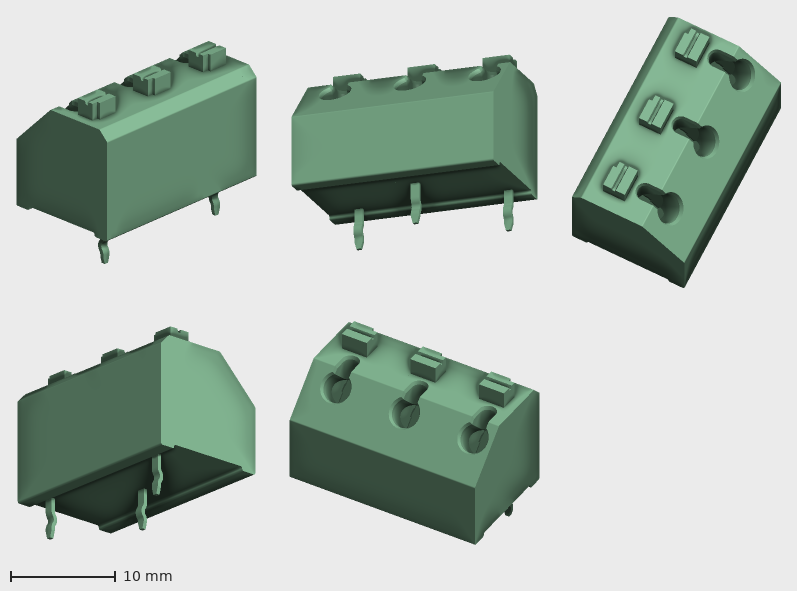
import cadquery as cq
import math

slice_width = 3.8
end_plate_width = 1.55
clamp_count = 3
clamp_pitch = 2 * slice_width

body_length = 12.0
body_height = 11.45
front_slope = 4.5
rear_chamfer = 1.0
foot_length = 1.66
foot_height = 0.41
edge_radius = 0.195

entry_inset = 1.73
bore_centre_x = 3.12
bore_centre_z = body_height - front_slope + bore_centre_x
bore_radius = 1.42
bore_depth = 3.55
mouth_radius = 1.6
mouth_depth = 0.37
slot_radius = 0.76
slot_mouth_radius = 0.9
slot_end_centre_x = 5.84
ramp_start_x = 3.88
ramp_end_x = 4.85
funnel_start_depth = 2.45
funnel_end_depth = 3.37
throat_half_width = 0.68

button_x = 7.13
button_length = 2.3
button_width = 2.77
button_height = 1.75
notch_length = 0.35
notch_width = 0.64
groove_centre = 1.2
groove_width = 0.47
groove_depth = 0.35
groove_floor_width = 0.25

pin_thickness = 0.41
pin_width = 0.85
pin_tip_width = 0.43
pin_tip_start_z = -2.88
pin_bottom_z = -3.62
front_pin_x = 4.7
front_bend_z = -1.91
rear_pin_x = 9.7
rear_bend_z = -1.77
bend_rise = 0.43
bend_offset = 0.29
bend_angle = 2 * math.atan(bend_offset / (2 * bend_rise))
bend_radius = bend_rise / math.sin(bend_angle)


def housing_slice(start_y, width):
    foot_inner_x = body_length - foot_length
    outline = [
        (0, 0),
        (foot_length, 0),
        (foot_length, foot_height),
        (foot_inner_x, foot_height),
        (foot_inner_x, 0),
        (body_length, 0),
        (body_length, body_height - rear_chamfer),
        (body_length - rear_chamfer, body_height),
        (front_slope, body_height),
        (0, body_height - front_slope),
    ]
    block = cq.Workplane("XZ", origin=(0, start_y, 0)).polyline(outline).close().extrude(-width)
    return block.edges("|Y").fillet(edge_radius)


def slope_workplane(centre_y):
    return cq.Workplane(
        cq.Plane(origin=(bore_centre_x, centre_y, bore_centre_z), xDir=(0, 1, 0), normal=(-1, 0, 1))
    )


def entry_bore(centre_y):
    bore = slope_workplane(centre_y).circle(bore_radius).extrude(-bore_depth)
    mouth = (
        slope_workplane(centre_y)
        .circle(mouth_radius)
        .workplane(offset=-mouth_depth)
        .circle(bore_radius)
        .loft(ruled=True)
    )
    return bore.union(mouth)


def slot_outline(centre_y, radius):
    return (
        cq.Workplane("XY", origin=(0, centre_y, body_height))
        .moveTo(bore_centre_x, -radius)
        .lineTo(slot_end_centre_x, -radius)
        .threePointArc((slot_end_centre_x + radius, 0), (slot_end_centre_x, radius))
        .lineTo(bore_centre_x, radius)
        .close()
    )


def entry_slot(centre_y):
    above_axis = (
        slope_workplane(centre_y)
        .workplane(offset=-bore_depth)
        .center(0, -body_height / 2)
        .rect(slice_width, body_height)
        .extrude(body_height)
    )
    return slot_outline(centre_y, slot_radius).extrude(-body_height).intersect(above_axis)


def slot_mouth(centre_y):
    taper = math.degrees(math.atan((slot_mouth_radius - slot_radius) / mouth_depth))
    top_mouth = slot_outline(centre_y, slot_mouth_radius).extrude(-mouth_depth, taper=taper)
    slope_mouth = (
        slope_workplane(centre_y)
        .center(0, -bore_centre_x / 2)
        .rect(2 * slot_mouth_radius, bore_centre_x)
        .extrude(-mouth_depth, taper=taper)
    )
    return top_mouth.union(slope_mouth)


def entry_ramp(centre_y):
    start_z = bore_centre_z - (ramp_start_x - bore_centre_x) - bore_radius * math.sqrt(2)
    end_z = bore_centre_z + (ramp_end_x - bore_centre_x) - bore_depth * math.sqrt(2)
    return (
        cq.Workplane("XZ", origin=(0, centre_y, 0))
        .moveTo(ramp_start_x, start_z)
        .lineTo(ramp_end_x, end_z)
        .lineTo(ramp_end_x, foot_height)
        .lineTo(ramp_start_x, foot_height)
        .close()
        .extrude(bore_radius, both=True)
    )


def entry_funnel_side(centre_y, side):
    section_plane = cq.Plane(
        origin=(bore_centre_x, centre_y, bore_centre_z), xDir=(0, 1, 0), normal=(1, 0, 1)
    )
    return (
        cq.Workplane(section_plane)
        .moveTo(side * bore_radius, -funnel_start_depth)
        .lineTo(side * throat_half_width, -funnel_end_depth)
        .lineTo(side * throat_half_width, -bore_depth)
        .lineTo(side * bore_radius, -bore_depth)
        .close()
        .extrude(bore_radius, both=True)
    )


def wire_entry(centre_y):
    bore = entry_bore(centre_y).cut(entry_ramp(centre_y))
    for side in (-1, 1):
        bore = bore.cut(entry_funnel_side(centre_y, side))
    return bore.union(entry_slot(centre_y)).union(slot_mouth(centre_y))


def release_button(end_y):
    corner = cq.Workplane("XY", origin=(button_x, end_y - button_width, body_height))
    block = corner.rect(button_length, button_width, centered=False).extrude(button_height)
    notch = (
        corner.center(button_length - notch_length, 0)
        .rect(notch_length, notch_width, centered=False)
        .extrude(button_height)
    )
    groove_top_z = body_height + button_height
    groove_floor_z = groove_top_z - groove_depth
    groove_centre_x = button_x + groove_centre
    groove_section = [
        (groove_centre_x - groove_width / 2, groove_top_z),
        (groove_centre_x - groove_floor_width / 2, groove_floor_z),
        (groove_centre_x + groove_floor_width / 2, groove_floor_z),
        (groove_centre_x + groove_width / 2, groove_top_z),
    ]
    groove = (
        cq.Workplane("XZ", origin=(0, end_y, 0)).polyline(groove_section).close().extrude(button_width)
    )
    return block.cut(notch).cut(groove)


def solder_pin(pin_x, centre_y, bend_z, bulge):
    half_thickness = pin_thickness / 2

    def end_arc(shift, angle, end):
        radius = bend_radius - shift
        return (
            pin_x + bulge * (bend_radius - radius * math.cos(angle)),
            bend_z + end * (2 * bend_rise - radius * math.sin(angle)),
        )

    def middle_arc(shift, angle):
        radius = bend_radius + shift
        return (
            pin_x + bulge * (bend_offset - bend_radius + radius * math.cos(angle)),
            bend_z + radius * math.sin(angle),
        )

    def bent_face(outline, shift, end):
        outline = outline.lineTo(*end_arc(shift, 0, end))
        outline = outline.threePointArc(
            end_arc(shift, bend_angle / 2, end), end_arc(shift, bend_angle, end)
        )
        outline = outline.threePointArc(middle_arc(shift, 0), middle_arc(shift, -end * bend_angle))
        return outline.threePointArc(
            end_arc(shift, bend_angle / 2, -end), end_arc(shift, 0, -end)
        )

    inner_x = pin_x - bulge * half_thickness
    outer_x = pin_x + bulge * half_thickness
    outline = cq.Workplane("XZ", origin=(0, centre_y, 0)).moveTo(inner_x, foot_height)
    outline = bent_face(outline, -half_thickness, 1)
    outline = outline.lineTo(inner_x, pin_bottom_z).lineTo(outer_x, pin_bottom_z)
    outline = bent_face(outline, half_thickness, -1)
    strip = outline.lineTo(outer_x, foot_height).close().extrude(pin_width / 2, both=True)

    tapered_front = [
        (-pin_width / 2, foot_height),
        (-pin_width / 2, pin_tip_start_z),
        (-pin_tip_width / 2, pin_bottom_z),
        (pin_tip_width / 2, pin_bottom_z),
        (pin_width / 2, pin_tip_start_z),
        (pin_width / 2, foot_height),
    ]
    taper = (
        cq.Workplane("YZ", origin=(0, centre_y, 0)).polyline(tapered_front).close().extrude(body_length)
    )
    return strip.intersect(taper)


def clamp_slice(start_y, pin_at_front):
    end_y = start_y + slice_width
    centre_y = end_y - entry_inset
    if pin_at_front:
        pin = solder_pin(front_pin_x, centre_y, front_bend_z, 1)
    else:
        pin = solder_pin(rear_pin_x, centre_y, rear_bend_z, -1)
    housing = housing_slice(start_y, slice_width).cut(wire_entry(centre_y))
    return housing.union(release_button(end_y)).union(pin)


clamps = []
for index in range(clamp_count):
    clamps.append(clamp_slice(index * clamp_pitch, pin_at_front=index % 2 == 1))

spacers = []
for index in range(clamp_count - 1):
    spacers.append(housing_slice(index * clamp_pitch + slice_width, slice_width))

end_plate = housing_slice((clamp_count - 1) * clamp_pitch + slice_width, end_plate_width)

result = cq.Compound.makeCompound(
    [clamp.val() for clamp in clamps] + [spacer.val() for spacer in spacers] + [end_plate.val()]
)